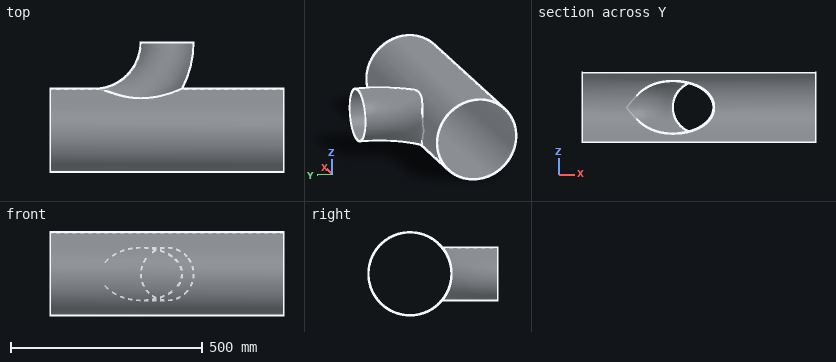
import cadquery as cq

PIPE_LENGTH = 610.0
PIPE_OUTER_DIAMETER = 219.1
WALL = 2.0

BRANCH_OUTER_DIAMETER = 139.7
BEND_RADIUS = 190.0
BEND_ANGLE = 90.0
BRANCH_END_X = 0.0

pipe_outer_radius = PIPE_OUTER_DIAMETER / 2
pipe_inner_radius = pipe_outer_radius - WALL
branch_outer_radius = BRANCH_OUTER_DIAMETER / 2
branch_inner_radius = branch_outer_radius - WALL

branch_end_y = pipe_outer_radius + BEND_RADIUS - branch_outer_radius


def pipe_cylinder(radius):
    """Solid cylinder over the full length of the main pipe."""
    return cq.Workplane("YZ", origin=(-PIPE_LENGTH / 2, 0, 0)).circle(radius).extrude(PIPE_LENGTH)


def branch_elbow(radius):
    """Solid elbow from the open branch end round into the main pipe."""
    return (
        cq.Workplane("XZ", origin=(BRANCH_END_X, branch_end_y, 0))
        .circle(radius)
        .revolve(BEND_ANGLE, (-BEND_RADIUS, 0, 0), (-BEND_RADIUS, -1, 0))
    )


def reducing_tee():
    """Main pipe and branch joined, with their bores opening into each other."""
    pipe_body = pipe_cylinder(pipe_outer_radius)
    pipe_bore = pipe_cylinder(pipe_inner_radius)
    branch_body = branch_elbow(branch_outer_radius)
    branch_bore = branch_elbow(branch_inner_radius)
    return pipe_body.union(branch_body).cut(branch_bore).cut(pipe_bore)


result = reducing_tee()